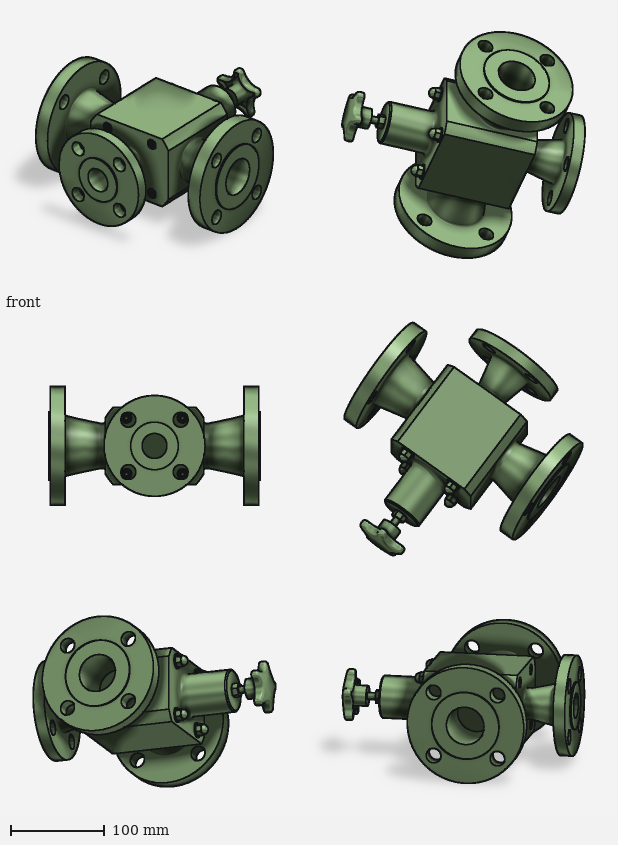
import cadquery as cq
import math


BODY_WIDTH = 105.0
BODY_HEIGHT = 82.5
BODY_FRONT = -43.0
BODY_BACK = 58.5
BODY_TURNED_RADIUS = 60.4

SIDE_FACE = 113.0
SIDE_FLANGE_DIAMETER = 127.0
SIDE_FLANGE_THICKNESS = 16.0
SIDE_RAISED_DIAMETER = 73.2
SIDE_BORE = 41.0
SIDE_NECK_DIAMETER = 48.3
SIDE_NECK_LENGTH = 5.0
SIDE_CONE_DIAMETER = 63.9
SIDE_BOLT_OFFSET = 34.7

FRONT_FACE = 97.8
FRONT_FLANGE_DIAMETER = 108.0
FRONT_FLANGE_THICKNESS = 12.5
FRONT_RAISED_DIAMETER = 50.8
FRONT_BORE = 26.7
FRONT_NECK_DIAMETER = 33.5
FRONT_NECK_LENGTH = 6.8
FRONT_CONE_DIAMETER = 48.3
FRONT_BOLT_OFFSET = 28.0

RAISED_HEIGHT = 1.5
FLANGE_BOLT_HOLE = 15.8
NECK_FILLET = 2.0

BONNET_DIAMETER = 45.8
BONNET_TOP = 112.5
BONNET_FILLET = 5.8
BONNET_CHAMFER = 1.5
GLAND_NUT_FLATS = 13.0
GLAND_NUT_TOP = 119.2
STEM_DIAMETER = 7.5

HUB_DIAMETER = 22.1
HUB_BOTTOM = 128.7
HUB_FILLET = 3.0
WHEEL_BOTTOM = 141.8
WHEEL_TOP = 153.6
WHEEL_RIM_TOP = 150.4
WHEEL_CROWN_RADIUS = 10.8
WHEEL_RADIUS = 28.7
LOBE_COUNT = 5
LOBE_RADIUS = 5.0
VALLEY_RADIUS = 18.0
WHEEL_TOP_FILLET = 3.5
WHEEL_BOTTOM_FILLET = 2.8
WHEEL_RIM_WIDTH = 3.0
POCKET_FLOOR = 147.9

BOLT_OFFSET = 30.0
COUNTERBORE_DIAMETER = 11.0
COUNTERBORE_DEPTH = 6.3
HEAD_DIAMETER = 9.5
HEAD_RECESS = 0.3
HEAD_CHAMFER = 0.8
SOCKET_FLATS = 5.0
SOCKET_DEPTH = 2.5
SOCKET_TIP_DIAMETER = 4.5
SOCKET_TIP_DEPTH = 1.3
WASHER_DIAMETER = 15.8
WASHER_THICKNESS = 0.8
ACORN_FLATS = 11.3
ACORN_HEX_TOP = 65.6
ACORN_CHAMFER_DIAMETER = 11.5
ACORN_CHAMFER_HEIGHT = 1.0
DOME_RADIUS = 5.5


def plane_at(y):
    """Plane across the Y axis with its normal along +Y."""
    return cq.Workplane(cq.Plane(origin=(0, y, 0), xDir=(1, 0, 0), normal=(0, 1, 0)))


def square_points(offset):
    return [(sx * offset, sz * offset) for sx in (-1, 1) for sz in (-1, 1)]


def disc(diameter, y_start, y_end):
    return plane_at(y_start).circle(diameter / 2).extrude(y_end - y_start)


def hexagon(flats, y_start, y_end):
    """Hexagonal prism with two corners on the local X axis."""
    corners = flats / math.cos(math.pi / 6)
    return plane_at(y_start).polygon(6, corners).extrude(y_end - y_start)


def revolve_about_y(profile):
    return profile.close().revolve(360, (0, 0, 0), (0, 1, 0))


def make_body():
    length = BODY_BACK - BODY_FRONT
    block = plane_at(BODY_FRONT).rect(BODY_WIDTH, BODY_HEIGHT).extrude(length)
    return block.intersect(disc(2 * BODY_TURNED_RADIUS, BODY_FRONT, BODY_BACK))


def make_port(body_face, face, flange_d, flange_t, raised_d, neck_d, neck_length, cone_d, bolt_offset):
    """Weld-neck flange pointing along -Y; distances are measured from the valve centre."""
    flange_front = face - RAISED_HEIGHT
    flange_back = flange_front - flange_t
    neck_r = neck_d / 2
    cone_r = cone_d / 2
    arc_mid = NECK_FILLET * (1 - math.sqrt(0.5))
    profile = (
        cq.Workplane("XY")
        .moveTo(0, -body_face)
        .lineTo(neck_r + NECK_FILLET, -body_face)
        .threePointArc((neck_r + arc_mid, -body_face - arc_mid), (neck_r, -body_face - NECK_FILLET))
        .lineTo(neck_r, -body_face - neck_length)
        .lineTo(cone_r, -flange_back + NECK_FILLET)
        .threePointArc((cone_r + arc_mid, -flange_back + arc_mid), (cone_r + NECK_FILLET, -flange_back))
        .lineTo(flange_d / 2, -flange_back)
        .lineTo(flange_d / 2, -flange_front)
        .lineTo(raised_d / 2, -flange_front)
        .lineTo(raised_d / 2, -face)
        .lineTo(0, -face)
    )
    holes = (
        plane_at(-flange_front)
        .pushPoints(square_points(bolt_offset))
        .circle(FLANGE_BOLT_HOLE / 2)
        .extrude(flange_t)
    )
    return revolve_about_y(profile).cut(holes)


def make_side_port(turn):
    port = make_port(
        BODY_WIDTH / 2, SIDE_FACE, SIDE_FLANGE_DIAMETER, SIDE_FLANGE_THICKNESS, SIDE_RAISED_DIAMETER,
        SIDE_NECK_DIAMETER, SIDE_NECK_LENGTH, SIDE_CONE_DIAMETER, SIDE_BOLT_OFFSET,
    )
    bore = disc(SIDE_BORE, -SIDE_FACE, -BODY_WIDTH / 2)
    return port.cut(bore).rotate((0, 0, 0), (0, 0, 1), turn)


def make_front_port():
    port = make_port(
        -BODY_FRONT, FRONT_FACE, FRONT_FLANGE_DIAMETER, FRONT_FLANGE_THICKNESS, FRONT_RAISED_DIAMETER,
        FRONT_NECK_DIAMETER, FRONT_NECK_LENGTH, FRONT_CONE_DIAMETER, FRONT_BOLT_OFFSET,
    )
    return port.cut(disc(FRONT_BORE, -FRONT_FACE, BODY_FRONT))


def make_bonnet():
    radius = BONNET_DIAMETER / 2
    arc_mid = BONNET_FILLET * (1 - math.sqrt(0.5))
    profile = (
        cq.Workplane("XY")
        .moveTo(0, BODY_BACK)
        .lineTo(radius + BONNET_FILLET, BODY_BACK)
        .threePointArc((radius + arc_mid, BODY_BACK + arc_mid), (radius, BODY_BACK + BONNET_FILLET))
        .lineTo(radius, BONNET_TOP - BONNET_CHAMFER)
        .lineTo(radius - BONNET_CHAMFER, BONNET_TOP)
        .lineTo(0, BONNET_TOP)
    )
    gland_nut = hexagon(GLAND_NUT_FLATS, BONNET_TOP, GLAND_NUT_TOP)
    stem = disc(STEM_DIAMETER, GLAND_NUT_TOP, HUB_BOTTOM)
    return revolve_about_y(profile).union(gland_nut).union(stem)


def polar(radius, angle):
    return (radius * math.cos(angle), radius * math.sin(angle))


def star_outline(inset):
    """Wheel outline moved inwards by inset: round lobes joined by tangent concave valleys."""
    half_step = math.pi / LOBE_COUNT
    tip_radius = WHEEL_RADIUS - inset
    valley_radius = VALLEY_RADIUS - inset
    lobe_radius = LOBE_RADIUS - inset
    lobe_centre = tip_radius - lobe_radius
    reach = lobe_centre * math.cos(half_step)
    valley_arc = (valley_radius**2 + lobe_centre**2 - lobe_radius**2 - 2 * reach * valley_radius) / (
        2 * (reach + lobe_radius - valley_radius)
    )
    valley_centre = valley_radius + valley_arc
    share = lobe_radius / (lobe_radius + valley_arc)

    def tangent_point(lobe_angle, side):
        lobe_x, lobe_y = polar(lobe_centre, lobe_angle)
        valley_x, valley_y = polar(valley_centre, lobe_angle + side * half_step)
        return (lobe_x + share * (valley_x - lobe_x), lobe_y + share * (valley_y - lobe_y))

    first_angle = -math.pi / 2
    star = plane_at(WHEEL_BOTTOM).moveTo(*tangent_point(first_angle, -1))
    for index in range(LOBE_COUNT):
        angle = first_angle + 2 * half_step * index
        next_angle = angle + 2 * half_step
        star = star.threePointArc(polar(tip_radius, angle), tangent_point(angle, 1))
        star = star.threePointArc(polar(valley_radius, angle + half_step), tangent_point(next_angle, -1))
    return star.close()


def make_hub():
    """Hub that flares into the floor of the wheel pocket."""
    radius = HUB_DIAMETER / 2
    arc_mid = HUB_FILLET * (1 - math.sqrt(0.5))
    return revolve_about_y(
        cq.Workplane("XY")
        .moveTo(0, HUB_BOTTOM)
        .lineTo(radius, HUB_BOTTOM)
        .lineTo(radius, POCKET_FLOOR - HUB_FILLET)
        .threePointArc((radius + arc_mid, POCKET_FLOOR - arc_mid), (radius + HUB_FILLET, POCKET_FLOOR))
        .lineTo(0, POCKET_FLOOR)
    )


def make_handwheel():
    """Star wheel with a spherical top, a flat crown and a hollow underside around the hub."""
    drop = WHEEL_TOP - WHEEL_RIM_TOP
    below_crown = (WHEEL_RADIUS**2 - WHEEL_CROWN_RADIUS**2 - drop**2) / (2 * drop)
    sphere_radius = math.hypot(WHEEL_CROWN_RADIUS, below_crown)
    dome = cq.Workplane("XY").sphere(sphere_radius).translate((0, WHEEL_TOP - below_crown, 0))

    wheel = star_outline(0).extrude(WHEEL_TOP - WHEEL_BOTTOM).intersect(dome)
    wheel = wheel.faces("<Y").edges().fillet(WHEEL_BOTTOM_FILLET)
    wheel = wheel.faces("%SPHERE").edges("not %CIRCLE").fillet(WHEEL_TOP_FILLET)
    pocket = star_outline(WHEEL_RIM_WIDTH).extrude(POCKET_FLOOR - WHEEL_BOTTOM)
    return wheel.cut(pocket).union(make_hub())


def make_acorn_nut():
    """Washer, chamfered hexagon and round cap on the Y axis."""
    hex_base = BODY_BACK + WASHER_THICKNESS
    washer = disc(WASHER_DIAMETER, BODY_BACK, hex_base)
    corner_trim = revolve_about_y(
        cq.Workplane("XY")
        .moveTo(0, hex_base)
        .lineTo(ACORN_FLATS, hex_base)
        .lineTo(ACORN_FLATS, ACORN_HEX_TOP - ACORN_CHAMFER_HEIGHT)
        .lineTo(ACORN_FLATS / math.sqrt(3), ACORN_HEX_TOP - ACORN_CHAMFER_HEIGHT)
        .lineTo(ACORN_CHAMFER_DIAMETER / 2, ACORN_HEX_TOP)
        .lineTo(0, ACORN_HEX_TOP)
    )
    nut = hexagon(ACORN_FLATS, hex_base, ACORN_HEX_TOP).rotate((0, 0, 0), (0, 1, 0), 90)
    cap = cq.Workplane("XY").sphere(DOME_RADIUS).translate((0, ACORN_HEX_TOP, 0))
    return washer.union(nut.intersect(corner_trim)).union(cap)


def make_bolt_head():
    """Socket head on the Y axis, standing on the counterbore floor."""
    head_top = BODY_FRONT + HEAD_RECESS
    socket_floor = head_top + SOCKET_DEPTH
    head = disc(HEAD_DIAMETER, head_top, BODY_FRONT + COUNTERBORE_DEPTH)
    head = head.faces("<Y").edges().chamfer(HEAD_CHAMFER)
    socket = hexagon(SOCKET_FLATS, head_top, socket_floor).rotate((0, 0, 0), (0, 1, 0), 90)
    tip = revolve_about_y(
        cq.Workplane("XY")
        .moveTo(0, socket_floor)
        .lineTo(SOCKET_TIP_DIAMETER / 2, socket_floor)
        .lineTo(0, socket_floor + SOCKET_TIP_DEPTH)
    )
    return head.cut(socket).cut(tip)


result = make_body().union(make_front_port()).union(make_bonnet()).union(make_handwheel())
for turn in (-90, 90):
    result = result.union(make_side_port(turn))

counterbore = disc(COUNTERBORE_DIAMETER, BODY_FRONT, BODY_FRONT + COUNTERBORE_DEPTH)
bolt_head = make_bolt_head()
acorn_nut = make_acorn_nut()
for bolt_x, bolt_z in square_points(BOLT_OFFSET):
    place = (bolt_x, 0, bolt_z)
    result = result.cut(counterbore.translate(place))
    result = result.union(bolt_head.translate(place)).union(acorn_nut.translate(place))